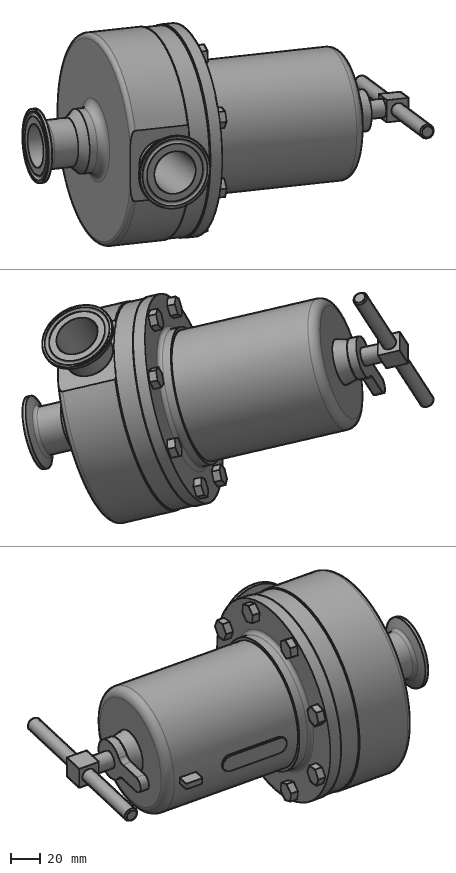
import math

import cadquery as cq


total_length = 269.0
overall_width = 166.2

pipe_radius = 17.0
bore_radius = 15.0
ferrule_radius = 25.5
ferrule_rim = 2.5
ferrule_neck = 5.5
ferrule_fillet = 2.7
groove_radius = 22.0
groove_section_radius = 1.5

hub_radius = 22.3
hub_cone_start = 24.7
hub_cone_end = 31.0
hub_fillet = 6.5

casing_diameter = 146.5
casing_radius = casing_diameter / 2
spacer_radius = 72.5
casing_start = 42.8
casing_end = 85.3
casing_fillet = 3.5
rim_bevel = casing_radius - spacer_radius
casing_flat_x = 68.9
spacer_end = 99.0
cover_end = 108.0

collar_radius = 48.1
collar_end = 117.3
collar_fillet = 3.0
bonnet_radius = 46.0
bonnet_end = 223.0
bonnet_fillet = 6.5

outlet_y = 66.2
outlet_face_x = overall_width - casing_radius

bolt_count = 8
bolt_circle_radius = 64.5
bolt_across_flats = 12.6
bolt_head_height = 5.6

neck_base_radius = 16.1
neck_top_radius = 13.5
lever_base = 233.0
lever_top = 239.7
lever_hub_radius = 14.5
lever_reach = 40.0
lever_half_width = 6.0
lever_fillet = 6.0
spindle_radius = 6.5

handle_block = 16.0
handle_bar_diameter = 10.0
handle_bar_length = 127.5
handle_bar_chamfer = 1.0
handle_bar_y = 261.5

tab_reach = 54.5
tab_length = 13.2
tab_thickness = 4.5
tab_y = 205.5
tab_fillet = 1.0
plate_reach = 47.3
plate_length = 51.5
plate_width = 12.6
plate_y = 152.5

ARC_MIDDLE = math.sqrt(0.5)

PICK_MARGIN = 0.3


def disc(radius, start, end):
    """Cylinder on the main axis between two Y positions."""
    return cq.Workplane("XZ", origin=(0, start, 0)).circle(radius).extrude(start - end)


def ferrule_pipe(length):
    """Solid pipe along +Y with a grooved clamp ferrule at its start."""
    pipe = (
        cq.Workplane("XY")
        .moveTo(0, 0)
        .lineTo(ferrule_radius, 0)
        .lineTo(ferrule_radius, ferrule_rim)
        .lineTo(pipe_radius, ferrule_neck)
        .lineTo(pipe_radius, length)
        .lineTo(0, length)
        .close()
        .revolve(360, (0, 0), (0, 1))
    )
    neck_size = pipe_radius + PICK_MARGIN
    neck_edge = cq.selectors.BoxSelector(
        (-neck_size, ferrule_neck - PICK_MARGIN, -neck_size),
        (neck_size, ferrule_neck + PICK_MARGIN, neck_size),
        boundingbox=True,
    )
    pipe = pipe.edges(neck_edge).fillet(ferrule_fillet)
    groove = (
        cq.Workplane("XY")
        .center(groove_radius, 0)
        .circle(groove_section_radius)
        .revolve(360, (-groove_radius, 0), (-groove_radius, 1))
    )
    return pipe.cut(groove)


def make_casing():
    """Round casing with a flat on +X for the outlet."""
    casing = disc(casing_radius, casing_start, casing_end)
    casing = casing.faces("<Y").edges().fillet(casing_fillet)
    casing = casing.faces(">Y").edges().chamfer(rim_bevel)
    beyond_flat = cq.Workplane("XY", origin=(casing_flat_x, casing_start, 0)).box(
        casing_radius, casing_end - casing_start, 2 * casing_radius, centered=(False, False, True)
    )
    return casing.cut(beyond_flat)


def make_cover():
    """Flange closing the casing, bevelled towards the spacer ring."""
    return disc(casing_radius, spacer_end, cover_end).faces("<Y").edges().chamfer(rim_bevel)


def make_inlet_hub():
    """Cone, cylinder and concave flare joining the inlet pipe to the casing."""
    flare_radius = hub_radius + hub_fillet
    return (
        cq.Workplane("XY")
        .moveTo(0, hub_cone_start)
        .lineTo(pipe_radius, hub_cone_start)
        .lineTo(hub_radius, hub_cone_end)
        .lineTo(hub_radius, casing_start - hub_fillet)
        .threePointArc(
            (flare_radius - hub_fillet * ARC_MIDDLE, casing_start - hub_fillet * (1 - ARC_MIDDLE)),
            (flare_radius, casing_start),
        )
        .lineTo(0, casing_start)
        .close()
        .revolve(360, (0, 0), (0, 1))
    )


def make_outlet():
    """Ferrule pipe pointing to +X from the casing flat."""
    outlet = ferrule_pipe(outlet_face_x - casing_flat_x)
    return outlet.rotate((0, 0, 0), (0, 0, 1), 90).translate((outlet_face_x, outlet_y, 0))


def make_bonnet():
    """Round-edged bonnet with its collar, which flares onto the cover flange."""
    flare_radius = collar_radius + collar_fillet
    collar = (
        cq.Workplane("XY")
        .moveTo(0, cover_end)
        .lineTo(flare_radius, cover_end)
        .threePointArc(
            (flare_radius - collar_fillet * ARC_MIDDLE, cover_end + collar_fillet * (1 - ARC_MIDDLE)),
            (collar_radius, cover_end + collar_fillet),
        )
        .lineTo(collar_radius, collar_end)
        .lineTo(0, collar_end)
        .close()
        .revolve(360, (0, 0), (0, 1))
    )
    shell = disc(bonnet_radius, collar_end, bonnet_end).faces(">Y").edges().fillet(bonnet_fillet)
    return collar.union(shell)


def make_bolt_heads():
    """Hexagon heads around the cover, each with a flat facing the main axis."""
    across_corners = bolt_across_flats / math.cos(math.pi / 6)
    head = (
        cq.Workplane("XZ", origin=(0, cover_end, 0))
        .polygon(6, across_corners)
        .extrude(-bolt_head_height)
        .translate((0, 0, bolt_circle_radius))
    )
    pitch = 360 / bolt_count
    heads = cq.Workplane("XY")
    for index in range(bolt_count):
        heads = heads.union(head.rotate((0, 0, 0), (0, 1, 0), (index + 0.5) * pitch))
    return heads


def make_lever():
    """Round lever hub with one round-ended arm blended into it, pointing to -X."""
    thickness = lever_top - lever_base
    hub = disc(lever_hub_radius, lever_base, lever_top)
    arm_end_x = -lever_reach + lever_half_width
    arm_end = disc(lever_half_width, lever_base, lever_top).translate((arm_end_x, 0, 0))
    arm = cq.Workplane("XY", origin=(arm_end_x, lever_base, 0)).box(
        -arm_end_x, thickness, 2 * lever_half_width, centered=(False, False, True)
    )
    lever = hub.union(arm).union(arm_end)
    root_selector = cq.selectors.BoxSelector(
        (-lever_hub_radius, lever_base, -lever_half_width - PICK_MARGIN),
        (-lever_hub_radius / 2, lever_top, lever_half_width + PICK_MARGIN),
    )
    return lever.edges("|Y").edges(root_selector).fillet(lever_fillet)


def make_neck():
    """Tapered neck between the bonnet and the locking lever."""
    return (
        cq.Workplane("XY")
        .moveTo(0, bonnet_end)
        .lineTo(neck_base_radius, bonnet_end)
        .lineTo(neck_top_radius, lever_base)
        .lineTo(0, lever_base)
        .close()
        .revolve(360, (0, 0), (0, 1))
    )


def make_handle():
    """Cross bar, square block and spindle of the T-handle."""
    block_start = total_length - handle_block
    block = cq.Workplane("XY", origin=(0, block_start, 0)).box(
        handle_block, handle_block, handle_block, centered=(True, False, True)
    )
    bar = (
        cq.Workplane("YZ", origin=(-handle_bar_length / 2, handle_bar_y, 0))
        .circle(handle_bar_diameter / 2)
        .extrude(handle_bar_length)
        .faces("<X or >X")
        .edges()
        .chamfer(handle_bar_chamfer)
    )
    return block.union(bar).union(disc(spindle_radius, lever_top, block_start))


def make_side_tab():
    """Small tab with rounded outer corners."""
    return (
        cq.Workplane("XY", origin=(-tab_reach, tab_y, 0))
        .box(tab_reach, tab_length, tab_thickness, centered=(False, True, True))
        .edges("<X and |Z")
        .fillet(tab_fillet)
    )


def make_side_plate():
    """Thin round-ended plate standing proud of the bonnet."""
    return (
        cq.Workplane("YZ", origin=(-plate_reach, plate_y, 0))
        .slot2D(plate_length, plate_width)
        .extrude(plate_reach)
    )


result = (
    ferrule_pipe(hub_cone_start)
    .union(make_inlet_hub())
    .union(make_casing())
    .union(make_outlet())
    .union(disc(spacer_radius, casing_end, spacer_end))
    .union(make_cover())
    .union(make_bonnet())
    .union(make_bolt_heads())
    .union(make_neck())
    .union(make_lever())
    .union(make_handle())
    .union(make_side_tab())
    .union(make_side_plate())
)

inlet_bore = disc(bore_radius, 0, casing_end)
outlet_bore = (
    cq.Workplane("YZ", origin=(0, outlet_y, 0)).circle(bore_radius).extrude(outlet_face_x)
)
result = result.cut(inlet_bore).cut(outlet_bore)